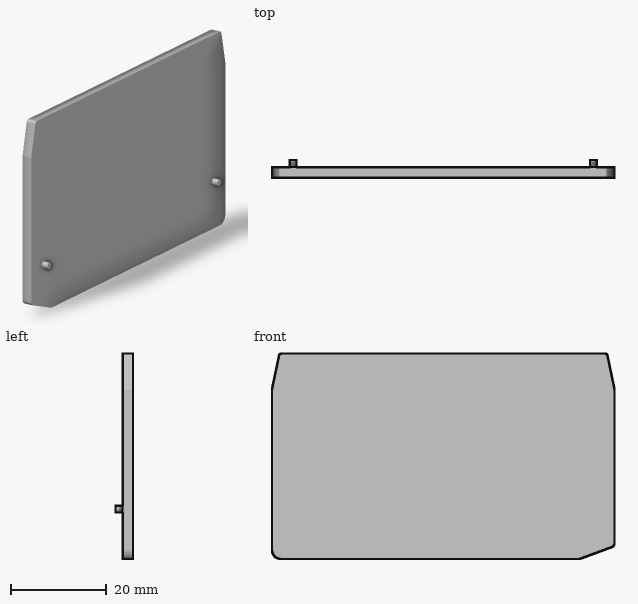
import cadquery as cq

width = 71.5
height = 42.9
thickness = 2.2

top_inset = 1.6
top_slope_height = 7.5
bottom_slope_width = 7.4
bottom_slope_height = 2.7

large_corner_radius = 2.0
small_corner_radius = 1.0
shoulder_radius = 1.0
top_corner_radius = 0.6

pin_diameter = 1.4
pin_length = 1.5
pin_spacing = 62.6
pin_center_x = width / 2
pin_height = 10.45


def corner_edge(x, z):
    """Select the plate's through-thickness edge nearest to a corner."""
    return cq.selectors.NearestToPointSelector((x, thickness / 2, z))


def make_plate():
    shoulder_z = height - top_slope_height
    outline = [
        (0, 0),
        (width - bottom_slope_width, 0),
        (width, bottom_slope_height),
        (width, shoulder_z),
        (width - top_inset, height),
        (top_inset, height),
        (0, shoulder_z),
    ]
    plate = cq.Workplane("XZ").polyline(outline).close().extrude(-thickness)
    rounded_corners = [
        (0, 0, large_corner_radius),
        (width, bottom_slope_height, small_corner_radius),
        (0, shoulder_z, shoulder_radius),
        (width, shoulder_z, shoulder_radius),
        (top_inset, height, top_corner_radius),
        (width - top_inset, height, top_corner_radius),
    ]
    for x, z, radius in rounded_corners:
        plate = plate.edges("|Y").edges(corner_edge(x, z)).fillet(radius)
    return plate


def make_pins():
    """Two pins, starting at the front face so that they merge with the plate."""
    pin_positions = [(pin_center_x + side * pin_spacing / 2, pin_height) for side in (-1, 1)]
    return (
        cq.Workplane("XZ")
        .pushPoints(pin_positions)
        .circle(pin_diameter / 2)
        .extrude(-(thickness + pin_length))
    )


result = make_plate().union(make_pins())